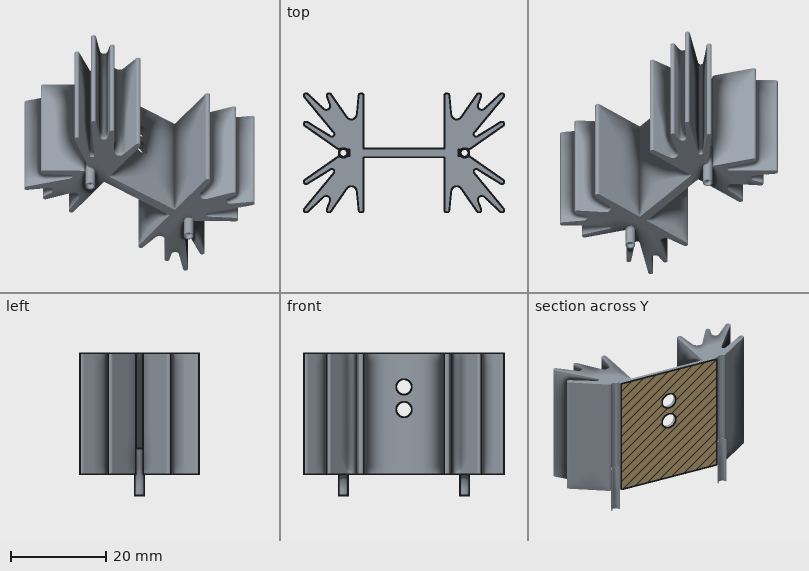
import cadquery as cq
import math

LENGTH = 42.0
WIDTH = 25.0
SINK_HEIGHT = 25.4

WEB_THICKNESS = 1.9
WEB_HALF_LENGTH = 8.45

HOLE_DIAMETER = 3.2
LOWER_HOLE_Z = 13.55
HOLE_PITCH = 4.75

PIN_PITCH = 25.4
PIN_DIAMETER = 2.0
PIN_BORE_DIAMETER = 1.6
PIN_PROTRUSION = 4.5
PIN_INSERTION = 5.5
PIN_TOP_CHAMFER = 0.13

PIN_X = PIN_PITCH / 2
MOUTH_HALF_WIDTH = 0.75
MOUTH_X = 13.78
SLOT_HALF_WIDTH = 0.67
SLOT_INNER_X = 11.45

TIP_RADIUS = 0.5
WEB_TIP_RADIUS = 0.55
WEB_TIP_X = WEB_HALF_LENGTH + WEB_TIP_RADIUS
WEB_TIP_Y = WIDTH / 2 - WEB_TIP_RADIUS
SECOND_TIP_X = 15.7
TIP_X = LENGTH / 2 - TIP_RADIUS
TIP_Y = WIDTH / 2 - TIP_RADIUS
SIDE_TIP_Y = 6.05

TIP = 1
VALLEY = -1
QUADRANT_ROUNDS = [
    (WEB_TIP_X, WEB_TIP_Y, WEB_TIP_RADIUS, TIP),
    (11.05, 8.15, 1.15, VALLEY),
    (SECOND_TIP_X, TIP_Y, TIP_RADIUS, TIP),
    (16.3, 9.83, 0.8, VALLEY),
    (TIP_X, TIP_Y, TIP_RADIUS, TIP),
    (15.1, 3.9, 0.5, VALLEY),
    (TIP_X, SIDE_TIP_Y, TIP_RADIUS, TIP),
]


def tangent_points(first, second):
    """Ends of the straight line that leaves one round and meets the next tangentially.

    A tip lies to the right of the travelled line and a valley to its left.
    """
    x1, y1, radius1, kind1 = first
    x2, y2, radius2, kind2 = second
    offset1 = radius1 * kind1
    offset2 = radius2 * kind2
    distance = math.hypot(x2 - x1, y2 - y1)
    heading = math.atan2(y2 - y1, x2 - x1) + math.asin((offset2 - offset1) / distance)
    left = (-math.sin(heading), math.cos(heading))
    start = (x1 + offset1 * left[0], y1 + offset1 * left[1])
    end = (x2 + offset2 * left[0], y2 + offset2 * left[1])
    return start, end


def arc_middle(circle, start, end):
    """Point of the round halfway between its two tangent points, on their side."""
    x, y, radius, _ = circle
    toward_x = (start[0] + end[0]) / 2 - x
    toward_y = (start[1] + end[1]) / 2 - y
    scale = radius / math.hypot(toward_x, toward_y)
    return x + toward_x * scale, y + toward_y * scale


def make_fin_quadrant():
    """Fins of the +X, +Y quadrant, closed along the X axis."""
    web_corner = (WEB_HALF_LENGTH, 0, 0, TIP)
    slot_mouth = (MOUTH_X, MOUTH_HALF_WIDTH, 0, TIP)
    stops = [web_corner, *QUADRANT_ROUNDS, slot_mouth]
    lines = [tangent_points(here, there) for here, there in zip(stops, stops[1:])]

    outline = cq.Workplane("XY").moveTo(*lines[0][0]).lineTo(*lines[0][1])
    for circle, arriving, leaving in zip(QUADRANT_ROUNDS, lines, lines[1:]):
        middle = arc_middle(circle, arriving[1], leaving[0])
        outline = outline.threePointArc(middle, leaving[0]).lineTo(*leaving[1])
    outline = outline.lineTo(PIN_X, MOUTH_HALF_WIDTH).lineTo(PIN_X, SLOT_HALF_WIDTH)
    outline = outline.lineTo(SLOT_INNER_X, SLOT_HALF_WIDTH).lineTo(SLOT_INNER_X, 0)
    return outline.close().extrude(SINK_HEIGHT)


def make_heat_sink():
    """Extruded web with four mirrored fin quadrants, pin bores and screw holes."""
    quadrant = make_fin_quadrant()
    cluster = quadrant.union(quadrant.mirror("XZ"))
    web = cq.Workplane("XY").box(
        2 * SLOT_INNER_X, WEB_THICKNESS, SINK_HEIGHT, centered=(True, True, False)
    )
    bores = (
        cq.Workplane("XY")
        .pushPoints([(-PIN_X, 0), (PIN_X, 0)])
        .circle(PIN_DIAMETER / 2)
        .extrude(SINK_HEIGHT)
    )
    holes = (
        cq.Workplane("XZ")
        .pushPoints([(0, LOWER_HOLE_Z), (0, LOWER_HOLE_Z + HOLE_PITCH)])
        .circle(HOLE_DIAMETER / 2)
        .extrude(WEB_THICKNESS, both=True)
    )
    return web.union(cluster).union(cluster.mirror("YZ")).cut(bores).cut(holes)


def make_pin(x):
    """Hollow pin that enters the heat sink from below, chamfered around its upper end."""
    length = PIN_PROTRUSION + PIN_INSERTION
    base = cq.Workplane("XY", origin=(x, 0, -PIN_PROTRUSION))
    body = base.circle(PIN_DIAMETER / 2).extrude(length).faces(">Z").chamfer(PIN_TOP_CHAMFER)
    return body.cut(base.circle(PIN_BORE_DIAMETER / 2).extrude(length))


heat_sink = make_heat_sink()
pins = [make_pin(x) for x in (-PIN_X, PIN_X)]

result = cq.Compound.makeCompound([heat_sink.val(), *[pin.val() for pin in pins]])